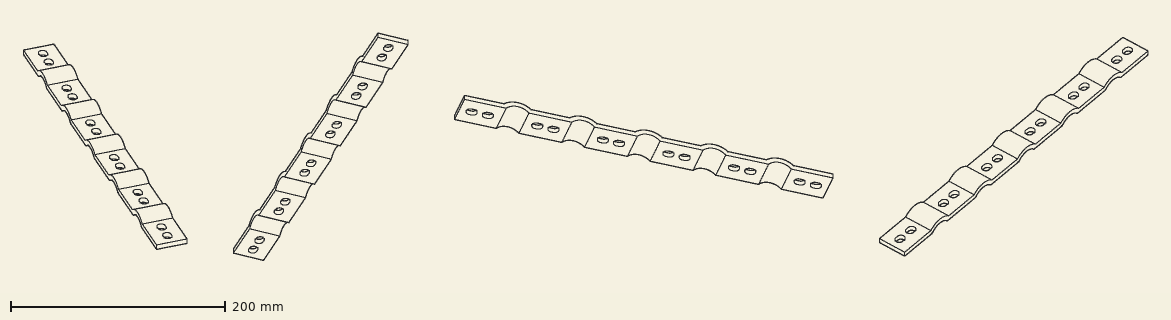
import cadquery as cq

length = 362.0
width = 30.5
height = 10.0
thickness = 5.0

wave_count = 5
wave_pitch = 64.5
inner_radius = 15.0

slot_length = 10.5
slot_width = 8.0
slot_spacing = 16.0

outer_radius = inner_radius + thickness
arch_axis_z = height - outer_radius


def centered_positions(count, pitch):
    return [(i - (count - 1) / 2) * pitch for i in range(count)]


def arch_cylinder(center_x, radius):
    """Cylinder on the arch axis, running across the full strap width."""
    return cq.Workplane("XZ").center(center_x, arch_axis_z).circle(radius).extrude(width / 2, both=True)


strap = cq.Workplane("XY").box(length, width, thickness, centered=(True, True, False))
envelope = cq.Workplane("XY").box(length, width, height, centered=(True, True, False))

wave_centers = centered_positions(wave_count, wave_pitch)
for center_x in wave_centers:
    strap = strap.union(arch_cylinder(center_x, outer_radius).intersect(envelope))
for center_x in wave_centers:
    strap = strap.cut(arch_cylinder(center_x, inner_radius))

slot_centers = [
    (flat_x + side * slot_spacing / 2, 0)
    for flat_x in centered_positions(wave_count + 1, wave_pitch)
    for side in (-1, 1)
]
slots = cq.Workplane("XY").pushPoints(slot_centers).slot2D(slot_length, slot_width).extrude(thickness)

result = strap.cut(slots)